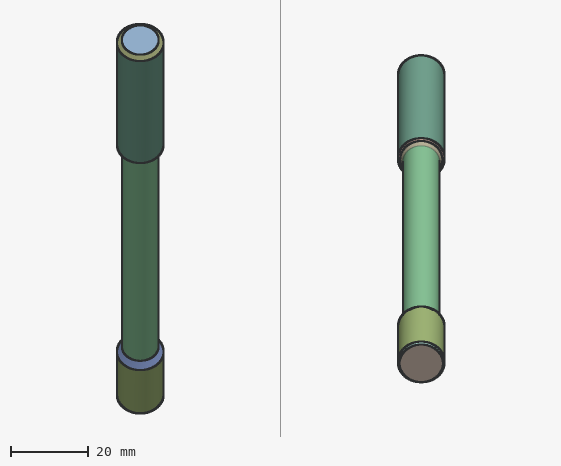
import math

import cadquery as cq

length = 151.0
end_diameter = 12.1
shank_diameter = 9.5
end_radius = end_diameter / 2
shank_radius = shank_diameter / 2

lower_end_top = 19.0
joint_height = 106.3
shoulder_taper_height = 2.3

top_flat_radius = shank_radius
top_chamfer_height = 1.0
bottom_chamfer_width = 0.5
bottom_chamfer_height = 0.8
rim_chamfer_width = 0.6
rim_chamfer_height = 0.5
joint_radius = end_radius - rim_chamfer_width

flare_radius = 1.7
flare_width = joint_radius - shank_radius
flare_angle = math.acos(1 - flare_width / flare_radius)
flare_height = flare_radius * math.sin(flare_angle)
flare_mid_radius = shank_radius + flare_radius * (1 - math.cos(flare_angle / 2))
flare_mid_height = joint_height - flare_height + flare_radius * math.sin(flare_angle / 2)


def revolve_about_z(profile):
    """Turn a radius-height profile into a solid about the Z axis."""
    return profile.close().revolve(360, (0, 0, 0), (0, 1, 0))


def make_shank():
    """Lightly chamfered thick lower end, conical shoulder and slim shank that flares out to the joint."""
    profile = (
        cq.Workplane("XZ")
        .lineTo(end_radius - bottom_chamfer_width, 0)
        .lineTo(end_radius, bottom_chamfer_height)
        .lineTo(end_radius, lower_end_top)
        .lineTo(shank_radius, lower_end_top + shoulder_taper_height)
        .lineTo(shank_radius, joint_height - flare_height)
        .threePointArc(
            (flare_mid_radius, flare_mid_height),
            (joint_radius, joint_height),
        )
        .lineTo(0, joint_height)
    )
    return revolve_about_z(profile)


def make_upper_end():
    """Plain cylinder on top of the shank, chamfered at both rims."""
    profile = (
        cq.Workplane("XZ")
        .moveTo(0, joint_height)
        .lineTo(joint_radius, joint_height)
        .lineTo(end_radius, joint_height + rim_chamfer_height)
        .lineTo(end_radius, length - top_chamfer_height)
        .lineTo(top_flat_radius, length)
        .lineTo(0, length)
    )
    return revolve_about_z(profile)


shank = make_shank()
upper_end = make_upper_end()

result = cq.Compound.makeCompound([shank.val(), upper_end.val()])